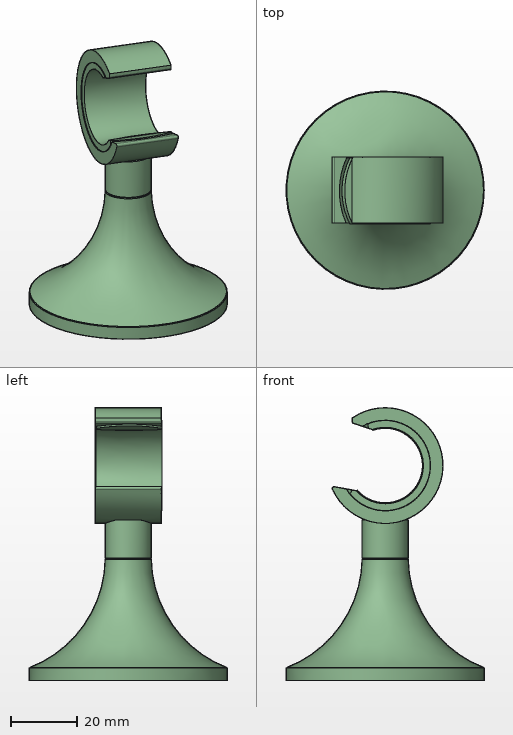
import cadquery as cq

total_height = 82.7
base_radius = 30.0
base_thickness = 4.05
base_edge = 0.25
flare_mid_radius = 15.1
flare_mid_height = 14.6
stem_radius = 7.0
joint_height = 37.0
joint_edge = 0.25
clip_radius = 17.5
clip_width = 20.0
liner_shift = 0.25
liner_rim_radius = 13.65
liner_barrel_radius = 15.4
bore_rim_radius = 11.6
bore_crown_radius = 11.25
liner_tip_chamfer = 1.65
tip_round = 0.6

lower_lip_tip = (-16.45, -6.2)
lower_lip_inner = (-8.6, -7.6)
upper_lip_tip = (-10.0, 12.9)
upper_lip_inner = (-3.8, 10.8)

clip_height = total_height - clip_radius
half_width = clip_width / 2
mouth_reach = 2 * clip_radius
stem_top = clip_height - (clip_radius + liner_barrel_radius) / 2


def make_base():
    """Disc that flares up in a concave curve to the neck."""
    return (
        cq.Workplane("XZ")
        .lineTo(base_radius, 0)
        .lineTo(base_radius, base_thickness - base_edge)
        .lineTo(base_radius - base_edge, base_thickness)
        .threePointArc((flare_mid_radius, flare_mid_height), (stem_radius, joint_height - joint_edge))
        .lineTo(stem_radius - joint_edge, joint_height)
        .lineTo(0, joint_height)
        .close()
        .revolve(360, (0, 0), (0, 1))
    )


def make_barrel(rim_radius, mid_radius):
    """Solid of revolution along Y whose radius changes from rim to mid width."""
    return (
        cq.Workplane("XY")
        .moveTo(0, -half_width)
        .lineTo(rim_radius, -half_width)
        .threePointArc((mid_radius, 0), (rim_radius, half_width))
        .lineTo(0, half_width)
        .close()
        .revolve(360, (0, 0), (0, 1))
        .translate((0, -liner_shift, clip_height))
    )


def make_mouth():
    """Opening on the -X side, bounded by the two lip faces."""
    return (
        cq.Workplane("XZ", origin=(0, 0, clip_height))
        .polyline([
            (0, 0),
            lower_lip_inner,
            lower_lip_tip,
            (-mouth_reach, lower_lip_tip[1]),
            (-mouth_reach, mouth_reach),
            (upper_lip_tip[0], mouth_reach),
            upper_lip_tip,
            upper_lip_inner,
        ])
        .close()
        .extrude(clip_width, both=True)
    )


def make_holder(liner_space, mouth):
    """Open ring on its stem, with a barrel-shaped seat for the liner."""
    ring = (
        cq.Workplane("XZ", origin=(0, half_width, clip_height))
        .circle(clip_radius)
        .extrude(clip_width)
        .cut(mouth)
    )
    lower_tip = cq.selectors.NearestToPointSelector((lower_lip_tip[0], 0, clip_height + lower_lip_tip[1]))
    upper_tip = cq.selectors.NearestToPointSelector((upper_lip_tip[0], 0, clip_height + upper_lip_tip[1]))
    ring = ring.edges("|Y").edges(lower_tip).fillet(tip_round)
    ring = ring.edges("|Y").edges(upper_tip).fillet(tip_round)
    seat_rim = (
        cq.Workplane("XZ", origin=(0, half_width, clip_height))
        .circle(liner_rim_radius)
        .extrude(clip_width)
    )
    stem = (
        cq.Workplane("XY", origin=(0, 0, joint_height))
        .circle(stem_radius)
        .extrude(stem_top - joint_height)
        .faces("<Z")
        .chamfer(joint_edge)
    )
    return ring.union(stem).cut(liner_space).cut(seat_rim)


def make_liner(liner_space, mouth):
    """Open barrel-shaped sleeve with a crowned bore and chamfered tips."""
    liner = liner_space.cut(make_barrel(bore_rim_radius, bore_crown_radius)).cut(mouth)
    for lip_tip in (lower_lip_tip, upper_lip_tip):
        tip_point = (lip_tip[0], -liner_shift, clip_height + lip_tip[1])
        liner = liner.edges(cq.selectors.NearestToPointSelector(tip_point)).chamfer(liner_tip_chamfer)
    return liner


liner_space = make_barrel(liner_rim_radius, liner_barrel_radius)
mouth = make_mouth()
base = make_base()
holder = make_holder(liner_space, mouth)
liner = make_liner(liner_space, mouth)

result = cq.Compound.makeCompound([base.val(), *holder.vals(), *liner.vals()])